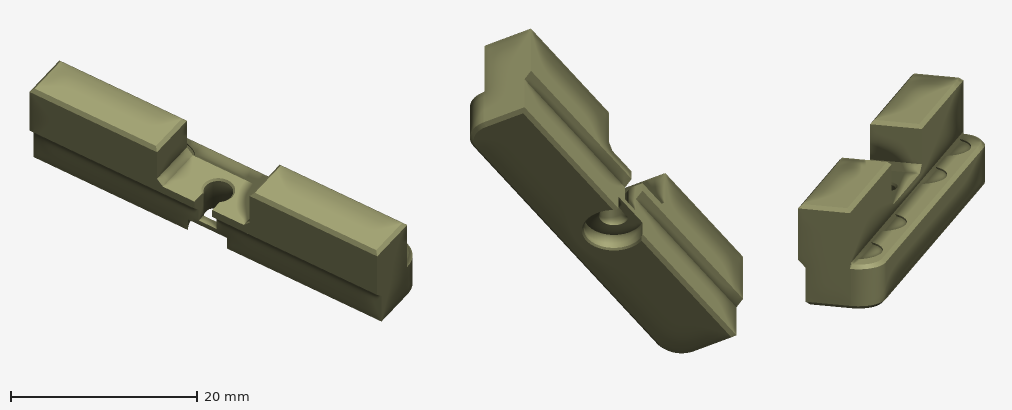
import cadquery as cq

length = 45.0
body_height = 11.34
overall_depth = 8.9
body_depth = 5.78
edge_chamfer = 0.4

front_step = 0.82
overhang_start = 4.28
front_face = -2.88
lower_front_face = front_face + front_step
body_back = front_face + body_depth
flange_back = front_face + overall_depth

flange_height = 5.0
flange_corner_radius = 3.0
root_chamfer = 0.15

notch_width = 12.0
notch_floor = 6.15
notch_corner_chamfer = 0.78

hole_radius = 3.2 / 2
hole_chamfer = 0.22
hole_flat_offset = 1.16
slot_width = 2.3
slot_floor = 2.62
counterbore_radius = 6.5 / 2
counterbore_depth = 2.0
counterbore_chamfer = 0.2

recess_radius = 6.2 / 2
recess_depth = 0.2
recess_y = body_back - 0.95
recess_spacing = 9.5
inner_recess_x = 8.0
outer_recess_x = inner_recess_x + recess_spacing


def extrude_along_x(points, width):
    """Extrude a YZ outline symmetrically about X = 0."""
    return cq.Workplane("YZ").polyline(points).close().extrude(width / 2, both=True)


def make_body():
    """Upright block with its stepped front face."""
    return extrude_along_x(
        [
            (lower_front_face, 0),
            (body_back, 0),
            (body_back, body_height),
            (front_face, body_height),
            (front_face, overhang_start + front_step),
            (lower_front_face, overhang_start),
        ],
        length,
    )


def make_notch():
    """Central cut whose floor corners are bevelled."""
    half_width = notch_width / 2
    half_floor = half_width - notch_corner_chamfer
    corner_top = notch_floor + notch_corner_chamfer
    outline = [
        (-half_width, body_height),
        (-half_width, corner_top),
        (-half_floor, notch_floor),
        (half_floor, notch_floor),
        (half_width, corner_top),
        (half_width, body_height),
    ]
    return cq.Workplane("XZ").polyline(outline).close().extrude(overall_depth, both=True)


def make_flange():
    """Low plate with rounded rear corners and a bevelled top rim."""
    depth = flange_back - lower_front_face
    return (
        cq.Workplane("XY")
        .center(0, lower_front_face + depth / 2)
        .rect(length, depth)
        .extrude(flange_height)
        .edges("|Z and >Y")
        .fillet(flange_corner_radius)
        .faces(">Z")
        .edges("not <Y")
        .chamfer(edge_chamfer)
    )


def make_recesses():
    """Discs sunk into the flange top."""
    centers = [(x, recess_y) for x in (-outer_recess_x, -inner_recess_x, inner_recess_x, outer_recess_x)]
    return (
        cq.Workplane("XY", origin=(0, 0, flange_height - recess_depth))
        .pushPoints(centers)
        .circle(recess_radius)
        .extrude(2 * recess_depth)
    )


def make_root():
    """45 degree bevel where the body rises from the flange, reaching down to the recess floors."""
    reach = root_chamfer + recess_depth
    base = flange_height - recess_depth
    width = length - 2 * edge_chamfer
    return extrude_along_x([(body_back, base), (body_back + reach, base), (body_back, base + reach)], width)


def make_cone(bottom_radius, top_radius, bottom, height):
    """Cone frustum on the screw axis."""
    return cq.Workplane(cq.Solid.makeCone(bottom_radius, top_radius, height, pnt=cq.Vector(0, 0, bottom)))


def make_screw_cut():
    """Bevelled hole, front slot and bottom counterbore; a bar stays below the slot."""
    slot_length = -front_face
    slot = (
        cq.Workplane("XY", origin=(0, -slot_length / 2, slot_floor))
        .rect(slot_width, slot_length)
        .extrude(notch_floor - slot_floor)
    )
    bar = (
        cq.Workplane("XY", origin=(0, -hole_flat_offset - hole_radius, 0))
        .rect(2 * hole_radius, 2 * hole_radius)
        .extrude(slot_floor)
    )
    hole = cq.Workplane("XY").circle(hole_radius).extrude(notch_floor).cut(bar)
    hole_mouth = make_cone(hole_radius, hole_radius + hole_chamfer, notch_floor - hole_chamfer, hole_chamfer)
    counterbore = cq.Workplane("XY").circle(counterbore_radius).extrude(counterbore_depth)
    counterbore_mouth = make_cone(
        counterbore_radius + counterbore_chamfer, counterbore_radius, 0, counterbore_chamfer
    )
    return hole.union(hole_mouth).union(slot).union(counterbore).union(counterbore_mouth)


upper_body = make_body().cut(make_notch()).faces(">Z").chamfer(edge_chamfer)
recessed_flange = make_flange().cut(make_recesses())
blank = recessed_flange.union(upper_body).union(make_root()).faces("<Z").chamfer(edge_chamfer)
result = blank.cut(make_screw_cut())